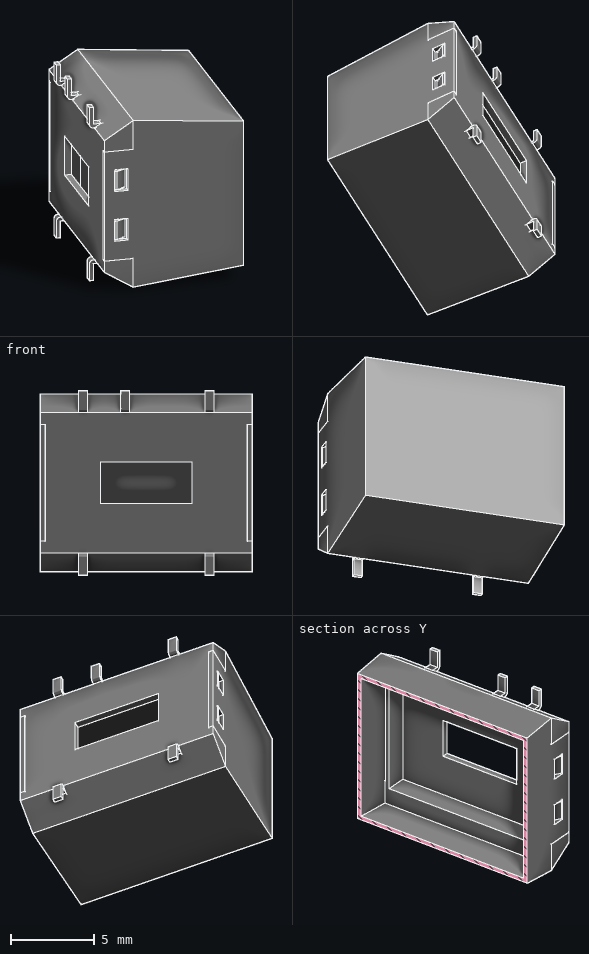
import cadquery as cq
import math


WIDTH = 12.75
OVERALL_DEPTH = 9.0
OVERALL_HEIGHT = 11.1
BODY_HEIGHT = 10.7

WALL = 0.29
TAB_GAP = 0.03

PIN_WIDTH = 0.55
PIN_THICKNESS = 0.25
PIN_STANDOFF = 0.05
PIN_EMBED_DEPTH = 0.89
PIN_PITCH = 2.54
OUTER_PIN_X = 3 * PIN_PITCH / 2
TOP_PIN_X = (-OUTER_PIN_X, -OUTER_PIN_X + PIN_PITCH, OUTER_PIN_X)
BOTTOM_PIN_X = (-OUTER_PIN_X, OUTER_PIN_X)

FLANGE_DEPTH = 1.8
FLANGE_FRONT_HEIGHT = 8.45
FRONT_PLATE = 0.42
FRONT_WINDOW_WIDTH = 5.51
FRONT_WINDOW_HEIGHT = 2.5

BODY_DEPTH = OVERALL_DEPTH - PIN_STANDOFF - PIN_THICKNESS
CAP_BACK_WIDTH = 12.64
CAP_BACK_HEIGHT = 9.26

TAB_HEIGHT = 7.0
SNAP_OFFSET = 1.6
SNAP_Z = (-SNAP_OFFSET, SNAP_OFFSET)
SNAP_WINDOW_FRONT = 0.65
SNAP_WINDOW_BACK = 1.47
SNAP_WINDOW_HEIGHT = 1.38
BARB_CLEARANCE = 0.1
BARB_CREST = 0.14
BARB_CREST_DROP = 0.019

SIDES = (-1, 1)
RECESS_DEPTH = WALL + TAB_GAP
RECESS_FLOOR_X = WIDTH / 2 - RECESS_DEPTH


def block(width, y_start, y_end, height, x=0.0, z=0.0):
    """Box centred on x and z that runs from y_start to y_end."""
    depth = y_end - y_start
    return cq.Workplane("XY").box(width, depth, height).translate((x, y_start + depth / 2, z))


def tapered_block(y_start, start_size, y_end, end_size):
    """Solid between two rectangles, given as (width, height), that face along Y."""
    return (
        cq.Workplane("XZ", origin=(0, y_start, 0))
        .rect(*start_size)
        .workplane(offset=y_start - y_end)
        .rect(*end_size)
        .loft(ruled=True, combine=True)
    )


def snap_barb(side, z):
    """Wedge that rises from the recess floor towards the front and ends in a slightly rounded crest."""
    foot_x = side * RECESS_FLOOR_X
    ridge_x = side * WIDTH / 2
    ridge_y = SNAP_WINDOW_FRONT + BARB_CREST
    crest_middle = (ridge_x - side * BARB_CREST_DROP / 4, ridge_y - BARB_CREST / 2)
    crest_front = (ridge_x - side * BARB_CREST_DROP, SNAP_WINDOW_FRONT)
    height = SNAP_WINDOW_HEIGHT - 2 * BARB_CLEARANCE
    return (
        cq.Workplane("XY", origin=(0, 0, z - height / 2))
        .moveTo(foot_x, SNAP_WINDOW_FRONT)
        .lineTo(*crest_front)
        .threePointArc(crest_middle, (ridge_x, ridge_y))
        .lineTo(foot_x, SNAP_WINDOW_BACK - BARB_CLEARANCE)
        .close()
        .extrude(height)
    )


def make_flange():
    """Hollow front piece with chamfered top and bottom, side recesses, barbs and a front window."""
    flange = tapered_block(0, (WIDTH, FLANGE_FRONT_HEIGHT), FLANGE_DEPTH, (WIDTH, BODY_HEIGHT))

    hollow_width = 2 * (RECESS_FLOOR_X - WALL)
    hollow_height = FLANGE_FRONT_HEIGHT - 2 * WALL
    flange = flange.cut(block(hollow_width, FRONT_PLATE, FLANGE_DEPTH, hollow_height))
    flange = flange.cut(block(FRONT_WINDOW_WIDTH, 0, FRONT_PLATE, FRONT_WINDOW_HEIGHT))

    for side in SIDES:
        recess_x = side * (WIDTH - RECESS_DEPTH) / 2
        flange = flange.cut(block(RECESS_DEPTH, 0, FLANGE_DEPTH, TAB_HEIGHT, x=recess_x))
        for z in SNAP_Z:
            flange = flange.union(snap_barb(side, z))
    return flange


def make_cap():
    """Drafted hollow cap with a windowed snap tab on each side."""
    cap = tapered_block(
        FLANGE_DEPTH, (WIDTH, BODY_HEIGHT), BODY_DEPTH, (CAP_BACK_WIDTH, CAP_BACK_HEIGHT)
    )
    cavity = tapered_block(
        FLANGE_DEPTH,
        (WIDTH - 2 * WALL, BODY_HEIGHT - 2 * WALL),
        BODY_DEPTH,
        (CAP_BACK_WIDTH - 2 * WALL, CAP_BACK_HEIGHT - 2 * WALL),
    )
    back_wall = block(WIDTH, BODY_DEPTH - WALL, BODY_DEPTH, BODY_HEIGHT)
    cap = cap.cut(cavity.cut(back_wall))

    for side in SIDES:
        tab_x = side * (WIDTH - WALL) / 2
        tab = block(WALL, 0, FLANGE_DEPTH, TAB_HEIGHT, x=tab_x)
        for z in SNAP_Z:
            window = block(WALL, SNAP_WINDOW_FRONT, SNAP_WINDOW_BACK, SNAP_WINDOW_HEIGHT, x=tab_x, z=z)
            tab = tab.cut(window)
        cap = cap.union(tab)
    return cap


def make_pin(x, side):
    """L-shaped pin bent upwards (side = 1) or downwards (side = -1), rounded outside its bend."""
    root_z = side * FLANGE_FRONT_HEIGHT / 2
    bend_z = root_z + side * PIN_THICKNESS
    tip_z = side * OVERALL_HEIGHT / 2
    inner_y = -PIN_STANDOFF
    outer_y = inner_y - PIN_THICKNESS
    arc_offset = PIN_THICKNESS * math.cos(math.pi / 4)
    arc_middle = (inner_y - arc_offset, bend_z - side * arc_offset)
    return (
        cq.Workplane("YZ", origin=(x - PIN_WIDTH / 2, 0, 0))
        .moveTo(PIN_EMBED_DEPTH, root_z)
        .lineTo(inner_y, root_z)
        .threePointArc(arc_middle, (outer_y, bend_z))
        .lineTo(outer_y, tip_z)
        .lineTo(inner_y, tip_z)
        .lineTo(inner_y, bend_z)
        .lineTo(PIN_EMBED_DEPTH, bend_z)
        .close()
        .extrude(PIN_WIDTH)
    )


pins = [make_pin(x, 1) for x in TOP_PIN_X] + [make_pin(x, -1) for x in BOTTOM_PIN_X]

flange = make_flange()
for pin in pins:
    flange = flange.cut(pin)

cap = make_cap()

result = cq.Compound.makeCompound([flange.solids().val(), cap.solids().val(), *[pin.val() for pin in pins]])